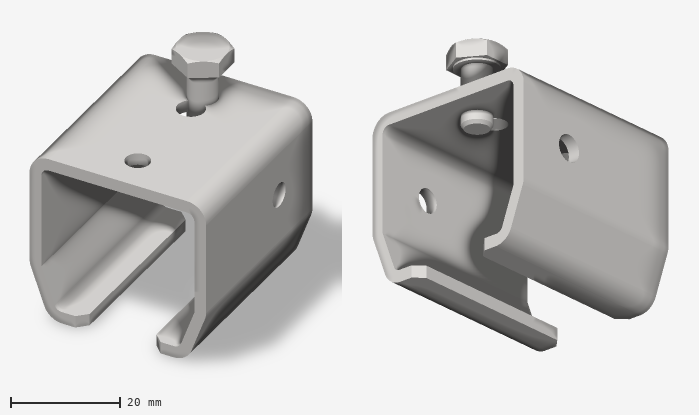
import cadquery as cq
import math

channel_width = 37.0
channel_length = 40.0
channel_height = 35.0
wall = 2.5
outer_radius = 4.0
inner_radius = outer_radius - wall
mouth_width = 14.0
taper_angle = 20.0
taper_start_height = 11.15
lip_chamfer = 1.95

small_hole_diameter = 4.9
large_hole_diameter = 5.5
rear_hole_y = 7.5
front_hole_y = -12.5
side_hole_height = 22.0

bolt_y = 12.0
bolt_top = 46.0
shank_diameter = 6.0
shank_length = 12.0
shank_tip_diameter = 4.9
shank_tip_height = 0.7
head_sides = 6
head_height = 3.6
head_across_flats = 10.0
corner_turn = 90.0
head_crown_diameter = 9.85
head_crown_angle = 30.0
collar_diameter = 8.9
collar_height = 0.4

collar_top = bolt_top - head_height
shank_top = collar_top - collar_height


def make_channel_block(inset):
    """Solid bar with the channel's section, its faces set inward by inset and its bends still sharp."""
    half_width = channel_width / 2 - inset
    bottom = inset
    top = channel_height - inset
    foot = half_width - (taper_start_height - bottom) * math.tan(math.radians(taper_angle))
    return (
        cq.Workplane("XZ", origin=(0, channel_length / 2, 0))
        .polyline([
            (-foot, bottom),
            (foot, bottom),
            (half_width, taper_start_height),
            (half_width, top),
            (-half_width, top),
            (-half_width, taper_start_height),
        ])
        .close()
        .extrude(channel_length)
    )


def make_drill(plane, start, diameter):
    """Cylinder that passes through one wall, from a start point on its lower or -X face."""
    return cq.Workplane(plane, origin=start).circle(diameter / 2).extrude(wall)


def make_lip_corner_cut(side, end):
    """Triangular prism that bevels one tip corner of a lip (side and end are -1 or 1)."""
    tip_x = side * mouth_width / 2
    end_y = end * channel_length / 2
    return (
        cq.Workplane("XY")
        .polyline([
            (tip_x, end_y),
            (tip_x + side * lip_chamfer, end_y),
            (tip_x, end_y - end * lip_chamfer),
        ])
        .close()
        .extrude(wall)
    )


def make_channel():
    outside = make_channel_block(0).edges("|Y").fillet(outer_radius)
    cavity = make_channel_block(wall).edges("|Y and (>Z or <Z)").fillet(inner_radius)
    channel = outside.cut(cavity)
    mouth = cq.Workplane("XY").box(mouth_width, channel_length, 2 * wall)
    channel = channel.cut(mouth)
    for side in (-1, 1):
        for end in (-1, 1):
            channel = channel.cut(make_lip_corner_cut(side, end))

    ceiling = channel_height - wall
    roof_holes = (
        (bolt_y, shank_diameter),
        (rear_hole_y, large_hole_diameter),
        (front_hole_y, small_hole_diameter),
    )
    for y, diameter in roof_holes:
        channel = channel.cut(make_drill("XY", (0, y, ceiling), diameter))

    left_wall_x = -channel_width / 2
    right_wall_x = channel_width / 2 - wall
    for x, diameter in ((left_wall_x, large_hole_diameter), (right_wall_x, small_hole_diameter)):
        channel = channel.cut(make_drill("YZ", (x, rear_hole_y, side_hole_height), diameter))
    return channel


def make_bolt():
    head_corner_diameter = head_across_flats / math.cos(math.pi / head_sides)
    head = (
        cq.Workplane("XY", origin=(0, bolt_y, collar_top))
        .polygon(head_sides, head_corner_diameter)
        .extrude(head_height)
        .rotate((0, bolt_y, 0), (0, bolt_y, 1), corner_turn)
    )
    blank_radius = head_corner_diameter / 2
    crown_radius = head_crown_diameter / 2
    crown_drop = (blank_radius - crown_radius) * math.tan(math.radians(head_crown_angle))
    blank = (
        cq.Workplane("XZ", origin=(0, bolt_y, 0))
        .polyline([
            (0, collar_top),
            (blank_radius, collar_top),
            (blank_radius, bolt_top - crown_drop),
            (crown_radius, bolt_top),
            (0, bolt_top),
        ])
        .close()
        .revolve(360, (0, 0, 0), (0, 1, 0))
    )
    shank_bottom = shank_top - shank_length
    stem = (
        cq.Workplane("XZ", origin=(0, bolt_y, 0))
        .polyline([
            (0, collar_top),
            (collar_diameter / 2, collar_top),
            (collar_diameter / 2, shank_top),
            (shank_diameter / 2, shank_top),
            (shank_diameter / 2, shank_bottom + shank_tip_height),
            (shank_tip_diameter / 2, shank_bottom),
            (0, shank_bottom),
        ])
        .close()
        .revolve(360, (0, 0, 0), (0, 1, 0))
    )
    return head.intersect(blank).union(stem)


channel = make_channel()
bolt = make_bolt()

result = cq.Compound.makeCompound([channel.val(), bolt.val()])